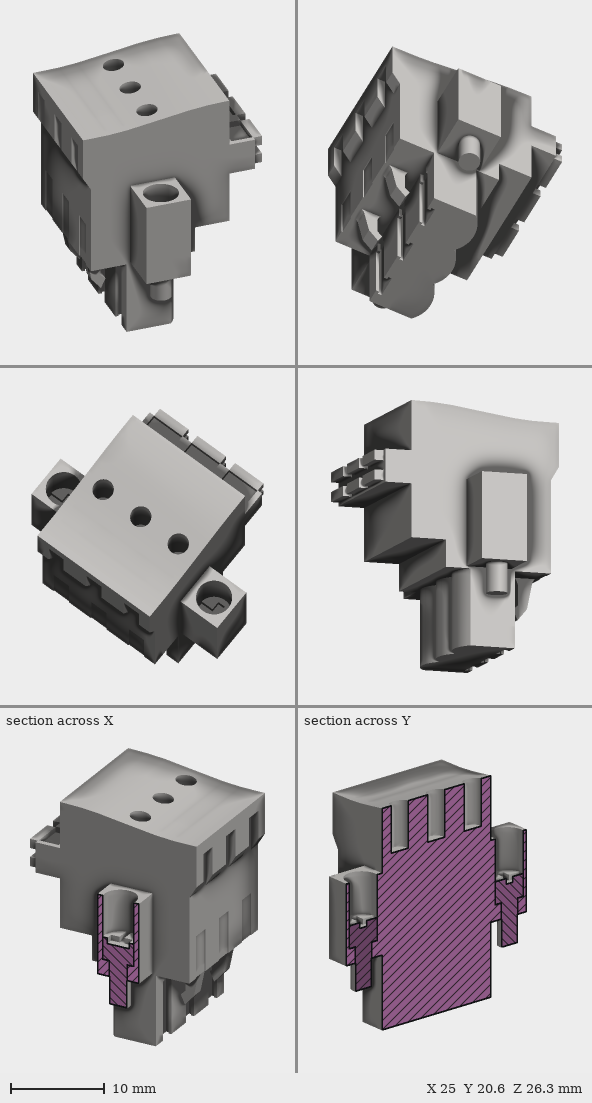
import cadquery as cq


pole_count = 3
pole_pitch = 5.06
pole_centres = [(i - (pole_count - 1) / 2) * pole_pitch for i in range(pole_count)]

overall_width = 25.03
overall_height = 26.25
overall_depth = 20.65

body_width = 15.15
body_bottom = 8.37
overhang = 0.9
body_rear = 16.7
step_rear = 12.78
step_height = 11.34
overhang_bottom = 20.0
overhang_slope_bottom = 18.53

top_front_height = 24.8
slope_front = (7.03, 25.27)
slope_rear = (9.87, 25.65)
rear_flat_start = 16.4
top_bulge = 0.14

shelf_rear = 19.63
shelf_bottom = 17.2
shelf_top = 20.78

driver_hole_diameter = 2.28
driver_hole_y = 8.25
driver_hole_floor = 20.0

front_slot_width = 2.07
upper_slot_top = 23.3
lower_slot_top = 13.35
lower_slot_depth = 0.1

plug_front = 4.99
plug_rear = 10.02
lobe_height = 1.02
plug_slot_width = 1.85
plug_slot_neck_width = 1.25
plug_slot_shoulder = 7.0
plug_lip = 0.37
plug_channel_width = 2.45
plug_channel_floor = 0.8

latch_width = 1.47
latch_offset = 3.23
latch_root_front = (1.47, body_bottom)
latch_neck_front = (1.73, 7.98)
latch_nose = (2.34, 5.05)
latch_tip = (3.4, 3.78)
latch_barb = (3.94, 4.88)
latch_rear = 3.33
latch_rear_bottom = 5.45
latch_rear_top = 7.27
latch_root_curve = (3.45, 7.85)
latch_root_rear = (3.7, body_bottom)

flange_front = 5.38
flange_depth = 5.1
flange_bottom = 8.58
flange_top = 18.03
flange_width = (overall_width - body_width) / 2
screw_x = 2 * pole_pitch
screw_y = flange_front + flange_depth / 2

head_diameter = 3.85
head_top = 13.12
head_bottom = 10.5
shank_diameter = 2.3
shank_end = 5.35
drive_depth = 0.65
drive_slot_width = 0.58
cross_width = 0.87
cross_length = 2.65

lever_width = 3.83
lever_front = 17.15
stem_top = 20.1
stem_bottom = 18.08
plate_top = 20.7
plate_bottom = 17.48
groove_height = 1.05
groove_fillet = 0.15


def box(x_centre, width, y_front, y_rear, z_bottom, z_top):
    """Box centred on x_centre, between the given Y and Z limits."""
    return (
        cq.Workplane("XY")
        .box(width, y_rear - y_front, z_top - z_bottom, centered=(True, False, False))
        .translate((x_centre, y_front, z_bottom))
    )


def cylinder(x, y, diameter, z_bottom, z_top):
    """Upright cylinder between two heights."""
    return (
        cq.Workplane("XY", origin=(x, y, z_bottom))
        .circle(diameter / 2)
        .extrude(z_top - z_bottom)
    )


def side_sketch(x_centre, width):
    """Workplane whose sketch is in (Y, Z), placed so an extrusion of width is centred on x_centre."""
    return cq.Workplane("YZ", origin=(x_centre - width / 2, 0, 0))


def arc_middle(start, end, bulge):
    """Middle point of a shallow arc, raised by bulge above its chord."""
    return ((start[0] + end[0]) / 2, (start[1] + end[1]) / 2 + bulge)


def make_main_block():
    front_arc_start = (overhang, top_front_height)
    rear_arc_end = (rear_flat_start, overall_height)
    return (
        side_sketch(0, body_width)
        .moveTo(overhang, body_bottom)
        .lineTo(overhang, overhang_slope_bottom)
        .lineTo(0, overhang_bottom)
        .lineTo(0, top_front_height)
        .lineTo(*front_arc_start)
        .threePointArc(arc_middle(front_arc_start, slope_front, -top_bulge), slope_front)
        .lineTo(*slope_rear)
        .threePointArc(arc_middle(slope_rear, rear_arc_end, top_bulge), rear_arc_end)
        .lineTo(body_rear, overall_height)
        .lineTo(body_rear, shelf_top)
        .lineTo(shelf_rear, shelf_top)
        .lineTo(shelf_rear, shelf_bottom)
        .lineTo(body_rear, shelf_bottom)
        .lineTo(body_rear, step_height)
        .lineTo(step_rear, step_height)
        .lineTo(step_rear, body_bottom)
        .close()
        .extrude(body_width)
    )


def make_plug():
    """Plug with one rounded lobe per pole on its rear side."""
    half_width = body_width / 2
    lobe_width = body_width / pole_count
    outline = (
        cq.Workplane("XY")
        .moveTo(half_width, plug_rear)
        .lineTo(half_width, plug_front)
        .lineTo(-half_width, plug_front)
        .lineTo(-half_width, plug_rear)
    )
    for i in range(pole_count):
        lobe_start = -half_width + i * lobe_width
        crest = (lobe_start + lobe_width / 2, plug_rear + lobe_height)
        outline = outline.threePointArc(crest, (lobe_start + lobe_width, plug_rear))
    return outline.close().extrude(body_bottom)


def make_plug_slot(x):
    """Undercut contact slot: a stepped opening in the front wall and a wider channel behind it."""
    lip_rear = plug_front + plug_lip
    opening = box(x, plug_slot_width, plug_front, lip_rear, 0, plug_slot_shoulder)
    neck = box(x, plug_slot_neck_width, plug_front, lip_rear, plug_slot_shoulder, body_bottom)
    channel = box(x, plug_channel_width, lip_rear, plug_front + plug_channel_floor, 0, body_bottom)
    return opening.union(neck).union(channel)


def make_latch(x):
    """Hook that hangs below the housing, curved at its root."""
    return (
        side_sketch(x, latch_width)
        .moveTo(*latch_root_front)
        .lineTo(*latch_neck_front)
        .lineTo(*latch_nose)
        .lineTo(*latch_tip)
        .lineTo(*latch_barb)
        .lineTo(latch_rear, latch_rear_bottom)
        .lineTo(latch_rear, latch_rear_top)
        .threePointArc(latch_root_curve, latch_root_rear)
        .close()
        .extrude(latch_width)
    )


def make_screw_flange(side):
    """Flange on one side of the housing, bored for the screw's head and shank."""
    x = side * (body_width + flange_width) / 2
    block = box(x, flange_width, flange_front, flange_front + flange_depth, flange_bottom, flange_top)
    head_bore = cylinder(side * screw_x, screw_y, head_diameter, head_bottom, flange_top)
    shank_bore = cylinder(side * screw_x, screw_y, shank_diameter, flange_bottom, head_bottom)
    return block.cut(head_bore).cut(shank_bore)


def make_housing():
    housing = make_main_block().union(make_plug())
    for side in (-1, 1):
        housing = housing.union(make_screw_flange(side))
        housing = housing.union(make_latch(side * latch_offset))
    for x in pole_centres:
        upper_slot = box(x, front_slot_width, 0, overhang, overhang_slope_bottom, upper_slot_top)
        lower_slot = box(
            x, front_slot_width, overhang, overhang + lower_slot_depth, body_bottom, lower_slot_top
        )
        driver_hole = cylinder(x, driver_hole_y, driver_hole_diameter, driver_hole_floor, overall_height)
        lever_pocket = box(x, lever_width, lever_front, shelf_rear, stem_bottom, shelf_top)
        for cutter in (upper_slot, lower_slot, driver_hole, lever_pocket, make_plug_slot(x)):
            housing = housing.cut(cutter)
    return housing


def make_screw(x):
    """Screw whose head has a slot right across it and a shorter cross slot."""
    head = cylinder(x, screw_y, head_diameter, head_bottom, head_top)
    shank = cylinder(x, screw_y, shank_diameter, shank_end, head_bottom)
    drive_floor = head_top - drive_depth
    long_slot = box(
        x,
        head_diameter,
        screw_y - drive_slot_width / 2,
        screw_y + drive_slot_width / 2,
        drive_floor,
        head_top,
    )
    cross_slot = box(
        x, cross_width, screw_y - cross_length / 2, screw_y + cross_length / 2, drive_floor, head_top
    )
    return head.union(shank).cut(long_slot).cut(cross_slot)


def make_lever(x):
    """Lever with a stem in the shelf pocket and a grooved plate behind the shelf."""
    stem = box(x, lever_width, lever_front, shelf_rear, stem_bottom, stem_top)
    plate = box(x, lever_width, shelf_rear, overall_depth, plate_bottom, plate_top)
    groove_middle = (plate_bottom + plate_top) / 2
    groove_bottom = groove_middle - groove_height / 2
    groove = box(
        x, lever_width, shelf_rear, overall_depth, groove_bottom, groove_bottom + groove_height
    )
    groove = groove.edges("|X and <Y").fillet(groove_fillet)
    return stem.union(plate.cut(groove))


housing = make_housing()
screws = [make_screw(side * screw_x) for side in (-1, 1)]
levers = [make_lever(x) for x in pole_centres]

result = cq.Compound.makeCompound([body.val() for body in [housing, *screws, *levers]])